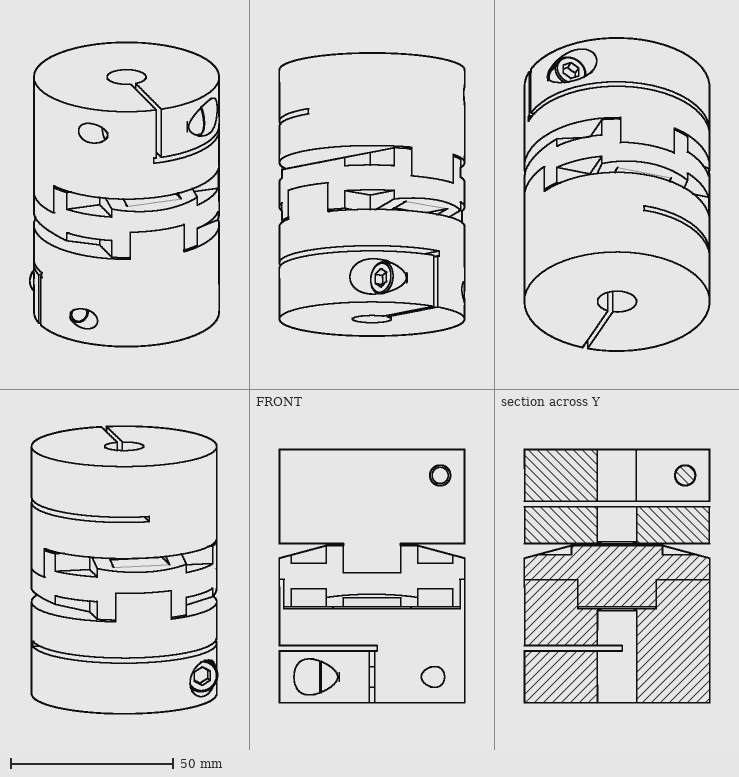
import cadquery as cq
import math


total_length = 78.0
outer_radius = 28.55
middle = total_length / 2

drill_point_angle = 30.0

hub_length = 29.0
bore_radius = 6.0
bore_end_radius = 4.8

key_width = 17.6
key_length = 9.0
key_inner_end = 11.9

slit_width = 1.6
clamp_length = 16.0
clamp_cut_end = 1.55

screw_offset = 21.0
screw_height = clamp_length / 2
shank_radius = 3.1
shank_length = 24.95
shank_chamfer = 0.6
screw_hole_radius = 3.2
head_radius = 5.0
head_height = 6.0
head_chamfer = 0.5
head_seat = 10.15
counterbore_radius = 5.5
hex_sides = 6
hex_flats = 5.0
hex_depth = 3.0

disc_gap = 0.55
disc_bottom = hub_length + disc_gap
disc_length = total_length - 2 * disc_bottom
land_half_width = 14.05
slope_angle = 15.0
notch_depth = 5.5
pocket_depth = 2.8


def box(x_range, y_range, z_range):
    """Box between two limits on each axis."""
    sides = [end - start for start, end in (x_range, y_range, z_range)]
    return cq.Workplane("XY").box(*sides, centered=False).translate((x_range[0], y_range[0], z_range[0]))


def rod(radius, x_start, x_end):
    """Round bar on the screw axis, which runs along X."""
    plane = cq.Workplane("YZ", origin=(x_start, -screw_offset, screw_height))
    return plane.circle(radius).extrude(x_end - x_start)


def turn_over(body):
    """Swap the two ends of the coupling: half a turn about the level diagonal through its middle."""
    return body.rotate((0, 0, middle), (0.8, -0.8, middle), 180)


def make_keys():
    """Two keys on the X axis, flush with the outer cylinder."""
    key_top = hub_length + key_length
    cylinder = cq.Workplane("XY").circle(outer_radius).extrude(key_top)
    strip = box((-outer_radius, outer_radius), (-key_width / 2, key_width / 2), (hub_length, key_top))
    middle_gap = box((-key_inner_end, key_inner_end), (-key_width / 2, key_width / 2), (hub_length, key_top))
    return cylinder.intersect(strip.cut(middle_gap))


def make_bore():
    """Shaft bore that narrows in a cone at the inner face of the hub."""
    cone_depth = (bore_radius - bore_end_radius) * math.tan(math.radians(drill_point_angle))
    profile = [
        (0, 0),
        (bore_radius, 0),
        (bore_radius, hub_length - cone_depth),
        (bore_end_radius, hub_length),
        (0, hub_length),
    ]
    return cq.Workplane("XZ").polyline(profile).close().revolve(360, (0, 0), (0, 1))


def make_clamp_cuts():
    """Slit from the bore to the outside, and the cross cut that frees the clamping half."""
    cut_top = clamp_length + slit_width
    slit = box((-slit_width / 2, slit_width / 2), (-outer_radius, 0), (0, cut_top))
    cross_cut = box((-outer_radius, clamp_cut_end), (-outer_radius, outer_radius), (clamp_length, cut_top))
    return slit.union(cross_cut)


def make_screw():
    """Socket head screw along X with its head on the -X side."""
    head_face = -head_seat - head_height
    head = rod(head_radius, head_face, -head_seat).faces("<X").chamfer(head_chamfer)
    shank_end = shank_length - head_seat
    shank = rod(shank_radius, -head_seat, shank_end).faces(">X").chamfer(shank_chamfer)

    hex_corners = hex_flats / math.cos(math.pi / hex_sides)
    socket_plane = cq.Workplane("YZ", origin=(head_face, -screw_offset, screw_height))
    socket = socket_plane.transformed(rotate=(0, 0, 90)).polygon(hex_sides, hex_corners).extrude(hex_depth)
    point_depth = hex_corners / 2 * math.tan(math.radians(drill_point_angle))
    point = cq.Solid.makeCone(
        hex_corners / 2,
        0,
        point_depth,
        pnt=cq.Vector(head_face + hex_depth, -screw_offset, screw_height),
        dir=cq.Vector(1, 0, 0),
    )
    socket = socket.union(cq.Workplane(point).intersect(socket.translate((hex_depth, 0, 0))))
    return head.union(shank).cut(socket)


def make_hub():
    """Lower hub with its clamp screw."""
    hub = cq.Workplane("XY").circle(outer_radius).extrude(hub_length)
    hub = hub.union(make_keys()).cut(make_bore()).cut(make_clamp_cuts())
    hub = hub.cut(rod(counterbore_radius, -outer_radius, -head_seat))
    hub = hub.cut(rod(screw_hole_radius, -head_seat, outer_radius))
    return hub.union(make_screw())


def make_disc_end_cuts():
    """Everything cut from the lower end of the disc, apart from the key slots."""
    slope_run = outer_radius - land_half_width
    slope_ratio = math.tan(math.radians(slope_angle))
    slope_rise = slope_run * slope_ratio
    pocket_outer_end = land_half_width + pocket_depth / slope_ratio
    notch_top = disc_bottom + notch_depth
    pocket_sides = (-key_width / 2, key_width / 2)
    cuts = cq.Workplane("XY")
    for side in (-1, 1):
        slope_points = [
            (side * land_half_width, disc_bottom),
            (side * outer_radius, disc_bottom),
            (side * outer_radius, disc_bottom + slope_rise),
        ]
        slope = cq.Workplane("YZ").polyline(slope_points).close().extrude(outer_radius, both=True)
        pocket_ends = sorted((side * land_half_width, side * pocket_outer_end))
        pocket = box(pocket_sides, pocket_ends, (disc_bottom, disc_bottom + pocket_depth))
        cuts = cuts.add(slope).add(pocket)
        for across in (-1, 1):
            notch_x = sorted((across * land_half_width, across * outer_radius))
            notch_y = sorted((side * land_half_width, side * outer_radius))
            cuts = cuts.add(box(notch_x, notch_y, (disc_bottom, notch_top)))
    return cuts.combine()


def make_disc():
    """Floating disc, the same from both ends, with slots that the keys fill."""
    disc = cq.Workplane("XY", origin=(0, 0, disc_bottom)).circle(outer_radius).extrude(disc_length)
    for end_cut in (make_disc_end_cuts(), make_keys()):
        disc = disc.cut(end_cut).cut(turn_over(end_cut))
    return disc


hub = make_hub()
hubs = []
for end in ("lower", "upper"):
    hubs.append(hub if end == "lower" else turn_over(hub))
disc = make_disc()

result = cq.Compound.makeCompound([*(body.solids().val() for body in hubs), disc.solids().val()])